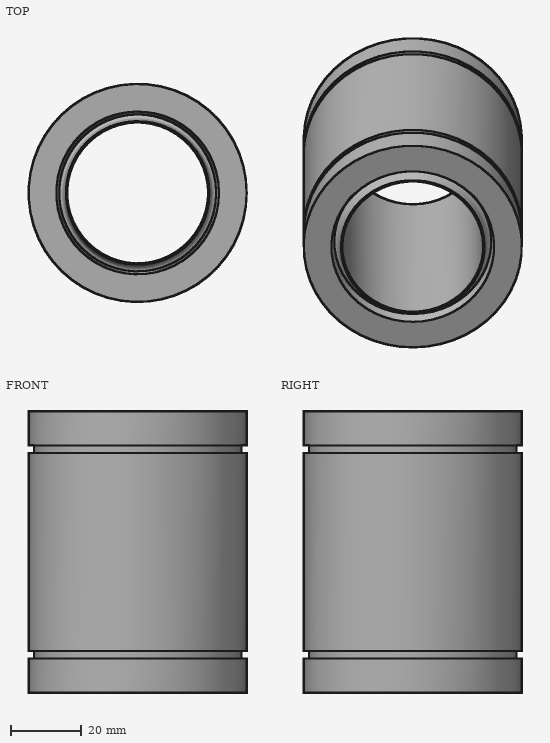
import cadquery as cq

length = 80.0
outer_diameter = 62.0
bore_diameter = 40.0

groove_diameter = 59.0
groove_width = 2.1
groove_offset = 9.8

trough_mouth_diameter = 46.2
trough_floor_diameter = 44.6
lip_diameter = 40.8
trough_depth = 3.8

curve_width = 1.2
curve_height = 1.0

half_length = length / 2


def ring(outside, inside, height):
    """Plain ring standing on the XY plane."""
    return cq.Workplane("XY").circle(outside / 2).circle(inside / 2).extrude(height)


def upper_trough():
    """Annular trough at the upper end, its floor curving up into the lip."""
    floor_radius = trough_floor_diameter / 2
    floor_height = half_length - trough_depth
    curve_start = (floor_radius, floor_height)
    curve_end = (floor_radius - curve_width, floor_height + curve_height)
    floor_curve = cq.Edge.makeTangentArc(
        cq.Vector(curve_start[0], 0, curve_start[1]),
        cq.Vector(-1, 0, 0),
        cq.Vector(curve_end[0], 0, curve_end[1]),
    )
    curve_middle = floor_curve.positionAt(0.5)
    return (
        cq.Workplane("XZ")
        .moveTo(lip_diameter / 2, half_length)
        .lineTo(trough_mouth_diameter / 2, half_length)
        .lineTo(*curve_start)
        .threePointArc((curve_middle.x, curve_middle.z), curve_end)
        .close()
        .revolve(360, (0, 0, 0), (0, 1, 0))
    )


def upper_groove():
    """Retaining ring groove near the upper end."""
    bottom = half_length - groove_offset - groove_width
    return ring(outer_diameter, groove_diameter, groove_width).translate((0, 0, bottom))


result = ring(outer_diameter, bore_diameter, length).translate((0, 0, -half_length))

for end_cut in (upper_groove(), upper_trough()):
    result = result.cut(end_cut).cut(end_cut.mirror("XY"))